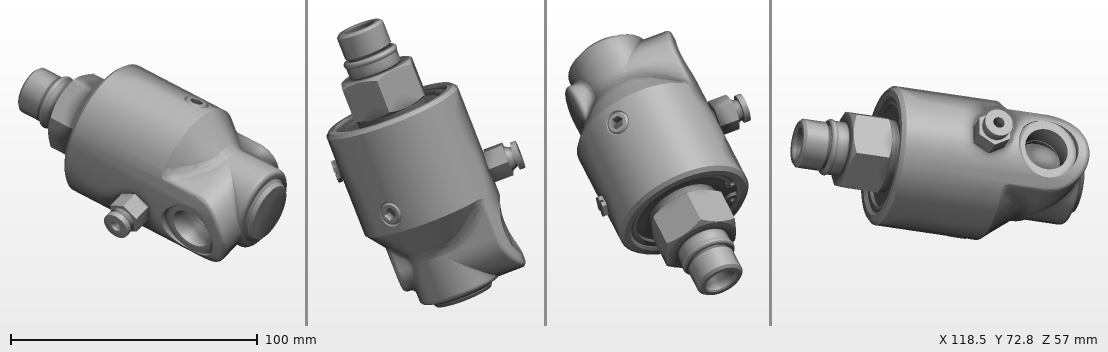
import cadquery as cq
import math


HOUSING_R = 57.0 / 2
HOUSING_CHAMFER = 1.5
CYLINDER_END = 44.6
NECK_R = 35.0 / 2
CONE_END = 58.8
NECK_END = 79.9
ROUNDING = 2.0
CONE_FILLET = 6.4

CAP_LENGTH = 2.77
CAP_FOOT_R = 27.8 / 2
CAP_R = 25.4 / 2
CAP_FACE_R = 11.9
CAP_FOOT_LENGTH = 1.1
CAP_STEP = 1.6

BOSS_X = NECK_END - NECK_R
BOSS_START = 30.0
PORT_X = 62.0
PORT_SEAT_R = 25.4 / 2
PORT_SEAT_Y = -25.4
PORT_HOLE_R = 17.6 / 2
PORT_MOUTH_R = PORT_HOLE_R + 0.25
PORT_MOUTH_END_Y = -14.8
PORT_CORE_R = 15.0

PAD_R = 10.3
PAD_Y = 22.0

RECESS_R = 47.07 / 2
RECESS_CHAMFER = 0.9
RING_DEPTH = 1.5
RING_THICKNESS = 1.5
RING_INNER_R = 21.0
LUG_R = 3.0
LUG_HOLE_R = 2.36 / 2
LUG_Y = -21.6
LUG_Z = 6.2

FITTING_X = 36.4
FITTING_STEM_R = 7.95 / 2
FITTING_HEX = 13.0
FITTING_HEX_Y = -28.7
FITTING_NECK_Y = -36.9
FITTING_COLLAR_Y = -39.9
FITTING_END_Y = -42.27
FITTING_NECK_R = 5.3
FITTING_COLLAR_R = 11.7 / 2
FITTING_BORE_R = 4.73 / 2
FITTING_BORE_DEPTH = 8.0

PLUG_X = 16.4
PLUG_STEM_R = 6.33 / 2
PLUG_HEX = 8.2
PLUG_HEAD_Y = 28.7
PLUG_TOP_Y = 30.5
PLUG_SLOT = 0.9
PLUG_SLOT_DEPTH = 1.3

SCREW_X = FITTING_X
SCREW_TILT = 30.0
SCREW_R = 4.7
SCREW_FACE_R = 7.95 / 2
SCREW_TOP = HOUSING_R + 0.1
SCREW_SINK_R = 5.4
SCREW_SOCKET = 5.0
SCREW_SOCKET_DEPTH = 4.5

ROTOR_TIP = -35.8
THREAD_R = 20.0 / 2
THREAD_CHAMFER = 1.1
THREAD_END = -25.7
NECK_GROOVE_R = 17.6 / 2
O_RING_X = -22.9
O_RING_SECTION_R = 1.4
O_RING_R = 23.0 / 2
COLLAR_START = -22.5
COLLAR_R = 22.0 / 2
COLLAR_CHAMFER = 0.5
HEX_START = -16.8
HEX_END = 0.0
HEX_ACROSS_FLATS = 30.0
HEX_FACE_R = 14.7
HEX_CHAMFER_ANGLE = 30.0
SPIGOT_R = HEX_FACE_R
SPIGOT_END = 20.0
ROTOR_BORE_R = 12.7 / 2
ROTOR_BORE_MOUTH_R = 13.8 / 2
ROTOR_BORE_DEPTH = 30.0

CORNERS_PER_FLATS = 1 / math.cos(math.pi / 6)
CORNERS_UP = 30.0
CORNERS_SIDEWAYS = 0.0

TOL = 0.01
OVERLAP = 5.0


def revolved_x(profile):
    """Solid of revolution about X from (x, radius) points."""
    return cq.Workplane("XY").polyline(profile).close().revolve(360, (0, 0, 0), (1, 0, 0))


def revolved_y(profile, x):
    """Solid of revolution about the line parallel to Y at x, from (radius, y) points."""
    wire = cq.Workplane("XY", origin=(x, 0, 0)).polyline(profile).close()
    return wire.revolve(360, (0, 0, 0), (0, 1, 0))


def cylinder_x(radius, start, end):
    return cq.Workplane("YZ", origin=(start, 0, 0)).circle(radius).extrude(end - start)


def cylinder_y(radius, x, start, end):
    return cq.Workplane("XZ", origin=(x, start, 0)).circle(radius).extrude(start - end)


def hexagon_y(across_flats, x, start, end, turn):
    """Hexagonal prism along Y, turned about its own axis."""
    hexagon = cq.Workplane("XZ", origin=(x, start, 0)).transformed(rotate=(0, 0, turn))
    return hexagon.polygon(6, across_flats * CORNERS_PER_FLATS).extrude(start - end)


def tongue(radius, y_end):
    """Flat-sided boss with a round end, running from the axis out to y_end."""
    outline = (
        cq.Workplane("XZ")
        .moveTo(BOSS_START, radius)
        .lineTo(BOSS_X, radius)
        .threePointArc((BOSS_X + radius, 0), (BOSS_X, -radius))
        .lineTo(BOSS_START, -radius)
        .close()
    )
    return outline.extrude(-y_end)


def make_port_boss():
    boss = tongue(NECK_R, -2 * HOUSING_R)
    boss = boss.intersect(cylinder_x(HOUSING_R, 0, 2 * NECK_END))
    outer_edges = boss.faces("<Y").edges().edges(cq.selectors.BoxSelector(
        (BOSS_START + 1, -2 * HOUSING_R, -HOUSING_R), (2 * NECK_END, 0, HOUSING_R)))
    return outer_edges.fillet(ROUNDING)


def make_pad():
    return tongue(PAD_R, PAD_Y).faces(">Y").edges(">X or >Z or <Z").fillet(ROUNDING)


def edges_within(shape, low, high):
    """Edges whose whole extent lies inside the box from low to high."""
    chosen = []
    for edge in shape.edges().vals():
        box = edge.BoundingBox()
        starts = (box.xmin, box.ymin, box.zmin)
        ends = (box.xmax, box.ymax, box.zmax)
        above = all(a >= b for a, b in zip(starts, low))
        below = all(a <= b for a, b in zip(ends, high))
        if above and below:
            chosen.append(edge)
    return shape.newObject(chosen)


def make_casting():
    """Barrel, cone and rear neck, with the port boss and the pad blended in."""
    casting = revolved_x([
        (0, 0),
        (0, HOUSING_R - HOUSING_CHAMFER),
        (HOUSING_CHAMFER, HOUSING_R),
        (CYLINDER_END, HOUSING_R),
        (CONE_END, NECK_R),
        (NECK_END, NECK_R),
        (NECK_END, 0),
    ])
    casting = casting.faces(">X").edges().fillet(ROUNDING)
    boss = make_port_boss()
    casting = casting.union(boss)

    boss_side_y = boss.faces(">Z").val().BoundingBox().ymin
    cone_root = edges_within(
        casting,
        (CYLINDER_END + TOL, boss_side_y - TOL, -NECK_R - TOL),
        (CONE_END + TOL, NECK_R + TOL, NECK_R + TOL),
    )
    casting = cone_root.fillet(CONE_FILLET)

    casting = casting.union(make_pad())
    pad_root = edges_within(
        casting,
        (CYLINDER_END + TOL, PAD_R, -PAD_R - TOL),
        (CONE_END, PAD_Y - ROUNDING + TOL, PAD_R + TOL),
    )
    return pad_root.fillet(ROUNDING)


def make_cap():
    return revolved_x([
        (NECK_END - OVERLAP, 0),
        (NECK_END - OVERLAP, CAP_FOOT_R),
        (NECK_END, CAP_FOOT_R),
        (NECK_END + CAP_FOOT_LENGTH, CAP_R),
        (NECK_END + CAP_STEP, CAP_R),
        (NECK_END + CAP_LENGTH, CAP_FACE_R),
        (NECK_END + CAP_LENGTH, 0),
    ])


def make_port():
    """Cutter for the port: a flat seat and a stepped hole that ends on a round core about the axis."""
    seat = cylinder_y(PORT_SEAT_R, PORT_X, PORT_SEAT_Y, -HOUSING_R)
    mouth = cylinder_y(PORT_MOUTH_R, PORT_X, PORT_MOUTH_END_Y, PORT_SEAT_Y)
    hole = cylinder_y(PORT_HOLE_R, PORT_X, 0, PORT_SEAT_Y).union(mouth)
    core = cylinder_x(PORT_CORE_R, PORT_X - PORT_SEAT_R, PORT_X + PORT_SEAT_R)
    return seat.union(hole.cut(core))


def make_front_recess():
    """Cutter for the stepped recess; the snap ring and its two lugs stay standing."""
    mouth = revolved_x([
        (0, 0),
        (0, RECESS_R + RECESS_CHAMFER),
        (RECESS_CHAMFER, RECESS_R),
        (RING_DEPTH, RECESS_R),
        (RING_DEPTH, 0),
    ])
    ring_back = RING_DEPTH + RING_THICKNESS
    inside = cylinder_x(RING_INNER_R, RING_DEPTH, ring_back)
    gap = cq.Workplane("XY").box(
        RING_THICKNESS, RECESS_R, 2 * (LUG_Z - LUG_R), centered=(False, False, True)
    ).translate((RING_DEPTH, -RECESS_R, 0)).intersect(cylinder_x(RECESS_R, 0, ring_back))
    inside = inside.union(gap)
    for side in (-1, 1):
        lug = cylinder_x(LUG_R, RING_DEPTH, ring_back).translate((0, LUG_Y, side * LUG_Z))
        inside = inside.cut(lug)
    for side in (-1, 1):
        hole = cylinder_x(LUG_HOLE_R, RING_DEPTH, ring_back).translate((0, LUG_Y, side * LUG_Z))
        inside = inside.union(hole)
    return mouth.union(inside)


def make_fitting():
    stem = cylinder_y(FITTING_STEM_R, FITTING_X, -HOUSING_R + OVERLAP, FITTING_HEX_Y)
    hexagon = hexagon_y(FITTING_HEX, FITTING_X, FITTING_HEX_Y, FITTING_NECK_Y, CORNERS_UP)
    end = revolved_y([
        (0, FITTING_NECK_Y),
        (FITTING_NECK_R, FITTING_NECK_Y),
        (FITTING_STEM_R, FITTING_COLLAR_Y),
        (FITTING_COLLAR_R, FITTING_COLLAR_Y),
        (FITTING_COLLAR_R, FITTING_END_Y),
        (0, FITTING_END_Y),
    ], FITTING_X)
    bore = cylinder_y(FITTING_BORE_R, FITTING_X, FITTING_END_Y + FITTING_BORE_DEPTH, FITTING_END_Y)
    return stem.union(hexagon).union(end).cut(bore)


def make_plug():
    stem = cylinder_y(PLUG_STEM_R, PLUG_X, PLUG_HEAD_Y, HOUSING_R - OVERLAP)
    head = hexagon_y(PLUG_HEX, PLUG_X, PLUG_TOP_Y, PLUG_HEAD_Y, CORNERS_SIDEWAYS)
    slot = cq.Workplane("XY").box(PLUG_SLOT, PLUG_SLOT_DEPTH, 2 * PLUG_HEX)
    slot = slot.translate((PLUG_X, PLUG_TOP_Y - PLUG_SLOT_DEPTH / 2, 0))
    return stem.union(head).cut(slot)


def tilt_screw(shape, side):
    """Move a shape on the Z axis to the upper (side 1) or lower (side -1) set screw place."""
    tilted = shape.rotate((0, 0, 0), (1, 0, 0), -SCREW_TILT).translate((SCREW_X, 0, 0))
    return tilted if side > 0 else tilted.mirror("XY")


def make_screw_sink():
    """Conical countersink that leaves a V-shaped groove around the screw."""
    depth = SCREW_SINK_R - SCREW_R
    cone = cq.Solid.makeCone(
        SCREW_R, SCREW_SINK_R, depth, cq.Vector(0, 0, HOUSING_R - depth), cq.Vector(0, 0, 1)
    )
    return cq.Workplane(cone)


def make_screw():
    body = cq.Workplane("XY", origin=(0, 0, HOUSING_R - OVERLAP)).circle(SCREW_R)
    body = body.extrude(SCREW_TOP - HOUSING_R + OVERLAP)
    return body.faces(">Z").chamfer(SCREW_R - SCREW_FACE_R)


def make_screw_socket():
    socket = cq.Workplane("XY", origin=(0, 0, SCREW_TOP - SCREW_SOCKET_DEPTH))
    socket = socket.transformed(rotate=(0, 0, CORNERS_UP))
    return socket.polygon(6, SCREW_SOCKET * CORNERS_PER_FLATS).extrude(SCREW_SOCKET_DEPTH)


def make_housing():
    housing = make_casting().union(make_cap()).cut(make_port()).cut(make_front_recess())
    housing = housing.cut(cylinder_x(SPIGOT_R, 0, SPIGOT_END))
    for side in (1, -1):
        housing = housing.cut(tilt_screw(make_screw_sink(), side))
        housing = housing.union(tilt_screw(make_screw(), side))
        housing = housing.cut(tilt_screw(make_screw_socket(), side))
    return housing.union(make_fitting()).union(make_plug())


def make_rotor_hexagon():
    """Hexagon with corners up and down, chamfered at both ends."""
    corner_r = HEX_ACROSS_FLATS / 2 * CORNERS_PER_FLATS
    chamfer = (corner_r - HEX_FACE_R) * math.tan(math.radians(HEX_CHAMFER_ANGLE))
    prism = (
        cq.Workplane("YZ", origin=(HEX_START, 0, 0))
        .transformed(rotate=(0, 0, CORNERS_UP))
        .polygon(6, 2 * corner_r)
        .extrude(HEX_END - HEX_START)
    )
    envelope = revolved_x([
        (HEX_START, 0),
        (HEX_START, HEX_FACE_R),
        (HEX_START + chamfer, corner_r),
        (HEX_END - chamfer, corner_r),
        (HEX_END, HEX_FACE_R),
        (HEX_END, 0),
    ])
    return prism.intersect(envelope)


def make_rotor():
    groove_depth = THREAD_R - NECK_GROOVE_R
    shaft = revolved_x([
        (ROTOR_TIP, 0),
        (ROTOR_TIP, THREAD_R - THREAD_CHAMFER),
        (ROTOR_TIP + THREAD_CHAMFER, THREAD_R),
        (THREAD_END, THREAD_R),
        (THREAD_END + groove_depth, NECK_GROOVE_R),
        (COLLAR_START, NECK_GROOVE_R),
        (COLLAR_START, COLLAR_R),
        (HEX_START - COLLAR_CHAMFER, COLLAR_R),
        (HEX_START, COLLAR_R - COLLAR_CHAMFER),
        (HEX_START, SPIGOT_R),
        (SPIGOT_END, SPIGOT_R),
        (SPIGOT_END, 0),
    ])
    o_ring = cq.Workplane(cq.Solid.makeTorus(
        O_RING_R - O_RING_SECTION_R, O_RING_SECTION_R, cq.Vector(O_RING_X, 0, 0), cq.Vector(1, 0, 0)
    ))
    mouth = ROTOR_BORE_MOUTH_R - ROTOR_BORE_R
    bore = revolved_x([
        (ROTOR_TIP, 0),
        (ROTOR_TIP, ROTOR_BORE_MOUTH_R),
        (ROTOR_TIP + mouth, ROTOR_BORE_R),
        (ROTOR_TIP + ROTOR_BORE_DEPTH, ROTOR_BORE_R),
        (ROTOR_TIP + ROTOR_BORE_DEPTH, 0),
    ])
    return shaft.union(make_rotor_hexagon()).union(o_ring).cut(bore)


housing = make_housing()
rotor = make_rotor()
result = cq.Compound.makeCompound([housing.val(), rotor.val()])